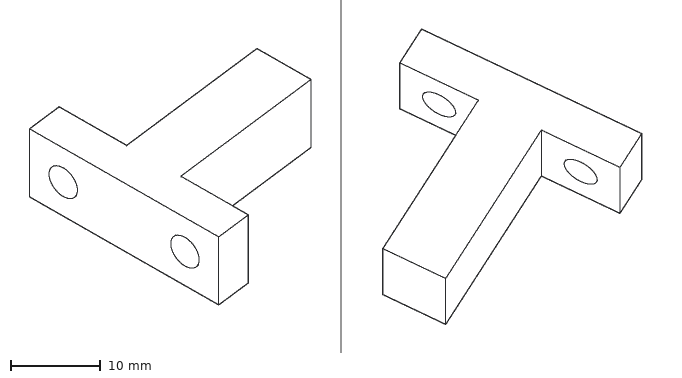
import cadquery as cq

width = 28.0
depth = 27.0
height = 10.0

flange_thickness = 5.0
stem_width = 8.0
hole_diameter = 4.2
hole_spacing = 18.0

flange = cq.Workplane("XY").box(width, flange_thickness, height, centered=(True, False, True))

stem = cq.Workplane("XY").box(stem_width, depth, height, centered=(True, False, True))

holes = (
    cq.Workplane("XZ")
    .pushPoints([(-hole_spacing / 2, 0), (hole_spacing / 2, 0)])
    .circle(hole_diameter / 2)
    .extrude(-flange_thickness)
)

result = flange.union(stem).cut(holes)